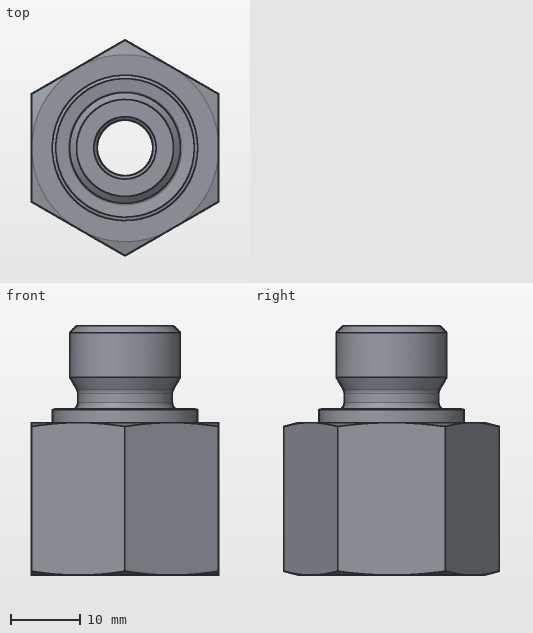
import cadquery as cq
import math

TOTAL_HEIGHT = 36.0
HEX_HEIGHT = 22.0
COLLAR_HEIGHT = 2.0

ACROSS_FLATS = 27.0
ACROSS_CORNERS = ACROSS_FLATS / math.cos(math.pi / 6)
HEX_CHAMFER_ANGLE = math.radians(15)

COLLAR_RADIUS = 21.0 / 2
SEAL_EDGE_RADIUS = 20.0 / 2
SEAL_FACE_INNER_RADIUS = 16.38 / 2
COLLAR_EDGE_DROP = 0.13

SPIGOT_RADIUS = 16.0 / 2
SPIGOT_LENGTH = 7.42
SPIGOT_CHAMFER = 1.0

NECK_RADIUS = 13.7 / 2
NECK_FILLET = 1.18
RUNOUT_ANGLE = math.radians(30)

BORE_RADIUS = 8.0 / 2
BORE_CHAMFER = 0.5


def hexagon():
    """Hexagonal body with corners on the Y axis and turned chamfers at both ends."""
    prism = (
        cq.Workplane("XY")
        .polygon(6, ACROSS_CORNERS)
        .extrude(HEX_HEIGHT)
        .rotate((0, 0, 0), (0, 0, 1), 90)
    )
    face_radius = ACROSS_FLATS / 2
    corner_radius = ACROSS_CORNERS / 2
    drop = (corner_radius - face_radius) * math.tan(HEX_CHAMFER_ANGLE)
    envelope = (
        cq.Workplane("XZ")
        .polyline([
            (0, 0),
            (face_radius, 0),
            (corner_radius, drop),
            (corner_radius, HEX_HEIGHT - drop),
            (face_radius, HEX_HEIGHT),
            (0, HEX_HEIGHT),
        ])
        .close()
        .revolve(360, (0, 0, 0), (0, 1, 0))
    )
    return prism.intersect(envelope)


def arc_point(center, angle):
    """Point (radius, height) on a neck fillet, at an angle from the outward direction."""
    return (
        center[0] + NECK_FILLET * math.cos(angle),
        center[1] + NECK_FILLET * math.sin(angle),
    )


def spigot():
    """Turned collar, undercut neck and chamfered spigot above the hexagon."""
    seal_edge_z = HEX_HEIGHT + COLLAR_HEIGHT
    collar_rim_z = seal_edge_z - COLLAR_EDGE_DROP
    spigot_base_z = TOTAL_HEIGHT - SPIGOT_LENGTH
    fillet_center_radius = NECK_RADIUS + NECK_FILLET

    seal_slope = math.asin((SEAL_FACE_INNER_RADIUS - fillet_center_radius) / NECK_FILLET)
    seal_rise = (SEAL_EDGE_RADIUS - SEAL_FACE_INNER_RADIUS) * math.tan(seal_slope)
    lower_center = (
        fillet_center_radius,
        seal_edge_z - seal_rise + NECK_FILLET * math.cos(seal_slope),
    )
    lower_end_angle = 1.5 * math.pi + seal_slope
    lower_mid_angle = (math.pi + lower_end_angle) / 2

    upper_end_angle = math.pi - RUNOUT_ANGLE
    upper_mid_angle = math.pi - RUNOUT_ANGLE / 2
    upper_end_radius = arc_point((fillet_center_radius, 0), upper_end_angle)[0]
    runout_height = (SPIGOT_RADIUS - upper_end_radius) / math.tan(RUNOUT_ANGLE)
    upper_center = (
        fillet_center_radius,
        spigot_base_z - runout_height - NECK_FILLET * math.sin(RUNOUT_ANGLE),
    )

    return (
        cq.Workplane("XZ")
        .moveTo(0, HEX_HEIGHT)
        .lineTo(COLLAR_RADIUS, HEX_HEIGHT)
        .lineTo(COLLAR_RADIUS, collar_rim_z)
        .lineTo(SEAL_EDGE_RADIUS, seal_edge_z)
        .lineTo(*arc_point(lower_center, lower_end_angle))
        .threePointArc(arc_point(lower_center, lower_mid_angle), arc_point(lower_center, math.pi))
        .lineTo(*arc_point(upper_center, math.pi))
        .threePointArc(
            arc_point(upper_center, upper_mid_angle),
            arc_point(upper_center, upper_end_angle),
        )
        .lineTo(SPIGOT_RADIUS, spigot_base_z)
        .lineTo(SPIGOT_RADIUS, TOTAL_HEIGHT - SPIGOT_CHAMFER)
        .lineTo(SPIGOT_RADIUS - SPIGOT_CHAMFER, TOTAL_HEIGHT)
        .lineTo(0, TOTAL_HEIGHT)
        .close()
        .revolve(360, (0, 0, 0), (0, 1, 0))
    )


def bore():
    """Cutter for the through bore with a countersunk mouth at the spigot end."""
    return (
        cq.Workplane("XZ")
        .polyline([
            (0, 0),
            (BORE_RADIUS, 0),
            (BORE_RADIUS, TOTAL_HEIGHT - BORE_CHAMFER),
            (BORE_RADIUS + BORE_CHAMFER, TOTAL_HEIGHT),
            (0, TOTAL_HEIGHT),
        ])
        .close()
        .revolve(360, (0, 0, 0), (0, 1, 0))
    )


result = hexagon().union(spigot()).cut(bore())